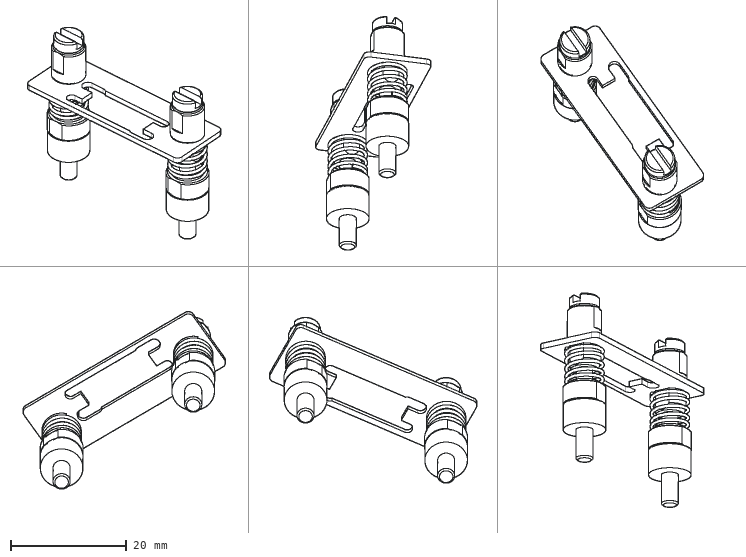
import cadquery as cq
import math


plate_length = 35.0
plate_width = 12.0
plate_thickness = 1.0
plate_corner_radius = 1.0

screw_spacing = 27.23
screw_offset_y = 1.0

window_centre_y = -1.75
window_length = 13.93
window_height = 6.35
wide_slot_width = 2.15
wide_slot_outer_end = 9.9
wide_slot_inner_end = 5.18
wide_slot_rise = 0.25
narrow_slot_width = 1.82
narrow_slot_outer_end = 9.5

screw_top = 9.38
head_diameter = 5.25
head_chamfer = 0.3
driver_slot_width = 1.5
driver_slot_depth = 1.5

sleeve_top = 7.05
sleeve_diameter = 6.0
sleeve_chamfer = 0.25
sleeve_flat_distance = 5.5
sleeve_flat_bottom = 3.0

neck_diameter = 5.67
neck_flat_distance = 4.9
neck_taper_start = -2.7
neck_bottom = -3.85
neck_bottom_diameter = 4.75

rod_diameter = 2.8
seat_diameter = 5.67
seat_top = -6.55
collar_diameter = 7.5
collar_top = -7.1
collar_chamfer_radial = 0.28
collar_chamfer_height = 0.18
collar_flat_distance = 6.9
foot_diameter = 7.42
foot_top = -10.57
foot_bottom = -15.05
pin_diameter = 2.98
pin_chamfer = 0.3
screw_length = 30.0
screw_bottom = screw_top - screw_length

spring_outer_diameter = 6.9
wire_diameter = 0.6
spring_pitch = 1.47
spring_end_pitch = 0.25
spring_ease_turns = 1.6
spring_start_angle = 180.0
points_per_turn = 16


def screw_places():
    """X, Y of the two screw axes."""
    return [(side * screw_spacing / 2, screw_offset_y) for side in (-1, 1)]


def flat_slab(across_x, across_y, bottom, top):
    """Block that trims a round stretch to its flats."""
    return cq.Workplane("XY").workplane(offset=bottom).rect(across_x, across_y).extrude(top - bottom)


def cylinder(diameter, bottom, top):
    return cq.Workplane("XY").workplane(offset=bottom).circle(diameter / 2).extrude(top - bottom)


def make_neck():
    """Round neck with a tapered lower end and two flats facing +X and -X."""
    profile = [
        (0, plate_thickness),
        (neck_diameter / 2, plate_thickness),
        (neck_diameter / 2, neck_taper_start),
        (neck_bottom_diameter / 2, neck_bottom),
        (0, neck_bottom),
    ]
    neck = cq.Workplane("XZ").polyline(profile).close().revolve(360, (0, 0), (0, 1))
    return neck.intersect(flat_slab(neck_flat_distance, neck_diameter, neck_bottom, plate_thickness))


def make_head():
    """Slotted head, chamfered at both ends."""
    head = cylinder(head_diameter, sleeve_top, screw_top).faces("<Z or >Z").chamfer(head_chamfer)
    slot = flat_slab(head_diameter, driver_slot_width, screw_top - driver_slot_depth, screw_top)
    return head.cut(slot)


def make_sleeve():
    """Sleeve with two flats facing +Y and -Y on its upper stretch."""
    sleeve = cylinder(sleeve_diameter, plate_thickness, sleeve_top).faces(">Z").chamfer(sleeve_chamfer)
    keep = flat_slab(sleeve_diameter, sleeve_diameter, plate_thickness, sleeve_flat_bottom)
    keep = keep.union(flat_slab(sleeve_diameter, sleeve_flat_distance, sleeve_flat_bottom, sleeve_top))
    return sleeve.intersect(keep)


def make_collar():
    """Collar chamfered at both ends, with two flats facing +Y and -Y."""
    rim = collar_diameter / 2 - collar_chamfer_radial
    profile = [
        (0, foot_top),
        (rim, foot_top),
        (collar_diameter / 2, foot_top + collar_chamfer_height),
        (collar_diameter / 2, collar_top - collar_chamfer_height),
        (rim, collar_top),
        (0, collar_top),
    ]
    collar = cq.Workplane("XZ").polyline(profile).close().revolve(360, (0, 0), (0, 1))
    return collar.intersect(flat_slab(collar_diameter, collar_flat_distance, foot_top, collar_top))


def make_screw():
    """One spring-loaded screw on the Z axis."""
    screw = make_head().union(make_sleeve()).union(make_neck())
    screw = screw.union(cylinder(rod_diameter, seat_top, neck_bottom))
    screw = screw.union(cylinder(seat_diameter, collar_top, seat_top))
    screw = screw.union(make_collar())
    screw = screw.union(cylinder(foot_diameter, foot_bottom, foot_top))
    pin = cylinder(pin_diameter, screw_bottom, foot_bottom).faces("<Z").chamfer(pin_chamfer)
    return screw.union(pin)


def eased_rise(turns):
    """Distance along Z from a spring end to the wire, a given number of turns from that end."""
    eased = min(turns, spring_ease_turns)
    growth = (spring_pitch - spring_end_pitch) / (2 * spring_ease_turns)
    return spring_end_pitch * eased + growth * eased ** 2 + spring_pitch * (turns - eased)


def make_spring():
    """One right-handed coil spring on the Z axis, between the seat and the plate."""
    coil_radius = (spring_outer_diameter - wire_diameter) / 2
    wire_start = seat_top + wire_diameter / 2
    wire_end = -wire_diameter / 2
    total_rise = wire_end - wire_start
    steady_rise = total_rise - 2 * eased_rise(spring_ease_turns)
    total_turns = 2 * spring_ease_turns + steady_rise / spring_pitch

    def path_point(turns):
        angle = math.radians(spring_start_angle) + 2 * math.pi * turns
        if turns < total_turns / 2:
            height = wire_start + eased_rise(turns)
        else:
            height = wire_end - eased_rise(total_turns - turns)
        return cq.Vector(coil_radius * math.cos(angle), coil_radius * math.sin(angle), height)

    steps = math.ceil(total_turns * points_per_turn)
    points = [path_point(total_turns * step / steps) for step in range(steps + 1)]
    path = cq.Edge.makeSpline(points)
    section_plane = cq.Plane(origin=path.startPoint(), xDir=(0, 0, 1), normal=path.tangentAt(0))
    section = cq.Workplane(section_plane).circle(wire_diameter / 2)
    return section.sweep(cq.Workplane(obj=path), isFrenet=True)


def slot_cutter(outer_end, inner_end, width, top):
    """Round-ended slot along X in the upper half of the window, with heights from the window centre."""
    length = abs(outer_end - inner_end)
    centre = ((outer_end + inner_end) / 2, top - width / 2)
    return cq.Workplane("XY").center(*centre).slot2D(length, width).extrude(plate_thickness)


def make_window():
    """Cutter for the plate window."""
    window = cq.Workplane("XY").rect(window_length, window_height).extrude(plate_thickness)
    half_height = window_height / 2
    wide_top = half_height + wide_slot_rise
    wide = slot_cutter(-wide_slot_outer_end, -wide_slot_inner_end, wide_slot_width, wide_top)
    narrow = slot_cutter(narrow_slot_outer_end, 0, narrow_slot_width, half_height)
    for turn in (0, 180):
        for slot in (wide, narrow):
            window = window.union(slot.rotate((0, 0, 0), (0, 0, 1), turn))
    return window.translate((0, window_centre_y, 0))


def make_plate():
    """Plate with rounded corners, the window and a hole fitting each screw neck."""
    plate = cq.Workplane("XY").rect(plate_length, plate_width).extrude(plate_thickness)
    plate = plate.edges("|Z").fillet(plate_corner_radius).cut(make_window())
    for x, y in screw_places():
        plate = plate.cut(make_neck().translate((x, y, 0)))
    return plate


plate = make_plate().solids()
screws = [make_screw().translate((x, y, 0)).solids() for x, y in screw_places()]
springs = [make_spring().translate((x, y, 0)).solids() for x, y in screw_places()]

bodies = [plate, *screws, *springs]
result = cq.Compound.makeCompound([body.val() for body in bodies])